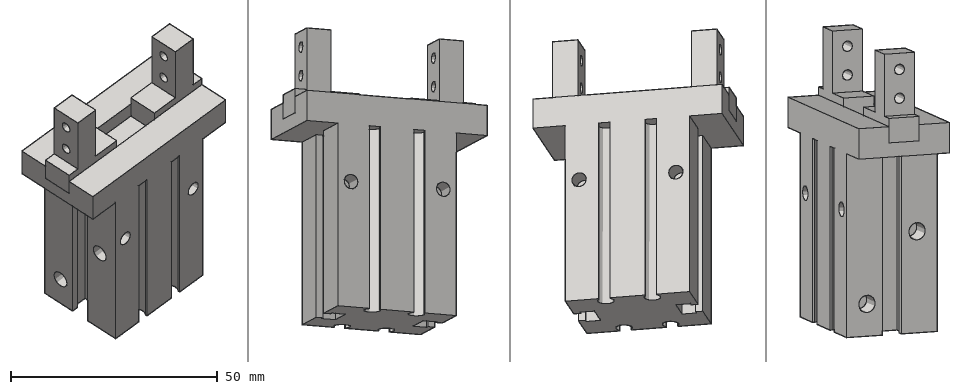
import cadquery as cq
import math

WIDTH = 23.6
PLATE_LENGTH = 47.0
TOTAL_HEIGHT = 70.0

BODY_LENGTH = 30.9
BODY_HEIGHT = 45.2
PLATE_THICKNESS = 7.5
PLATE_TOP = BODY_HEIGHT + PLATE_THICKNESS

JAW_WIDTH = 7.85
CHANNEL_DEPTH = 4.0
CHANNEL_FLOOR = PLATE_TOP - CHANNEL_DEPTH
JAW_BASE_LENGTH = 16.8
JAW_BASE_HEIGHT = 6.0
FINGER_THICKNESS = 6.3
FINGER_SETBACK = 3.1
FINGER_HOLE_DIAMETER = 2.5
FINGER_HOLE_PITCH = 7.1
FINGER_HOLE_TOP_MARGIN = 4.0

GROOVE_MOUTH = 2.9
GROOVE_DIAMETER = 4.0
GROOVE_LIP = 0.55
GROOVE_SPACING = 11.55

SLOT_MOUTH = 5.0
SLOT_LIP = 1.75
SLOT_INNER_WIDTH = 6.7
SLOT_DEPTH = 5.3

SIDE_HOLE_DIAMETER = 3.5
SIDE_HOLE_DEPTH = 5.6
SIDE_HOLE_SPACING = 24.0
SIDE_HOLE_Z = 31.0
PORT_DIAMETER = 4.2
PORT_DEPTH = 5.6
PORT_OFFSET = 6.5
LOWER_PORT_Z = 8.0
UPPER_PORT_Z = 25.0


def block(x_size, y_size, z_size, y_center=0, z_bottom=0):
    """Box centred on X, standing on z_bottom."""
    box = cq.Workplane("XY").box(x_size, y_size, z_size, centered=(True, True, False))
    return box.translate((0, y_center, z_bottom))


def side_groove(y_center):
    """Keyhole groove in the -X side: a parallel mouth opening into a round channel."""
    radius = GROOVE_DIAMETER / 2
    lip_to_axis = math.sqrt(radius**2 - (GROOVE_MOUTH / 2) ** 2)
    mouth_length = GROOVE_LIP + lip_to_axis
    axis_x = -WIDTH / 2 + mouth_length
    mouth = block(mouth_length, GROOVE_MOUTH, BODY_HEIGHT, y_center)
    mouth = mouth.translate((axis_x - mouth_length / 2, 0, 0))
    channel = cq.Workplane("XY").center(axis_x, y_center).circle(radius).extrude(BODY_HEIGHT)
    return mouth.union(channel)


def end_slot():
    """T-slot in the -Y end, running the full height of the body."""
    inner_depth = SLOT_DEPTH - SLOT_LIP
    end_y = -BODY_LENGTH / 2
    mouth = block(SLOT_MOUTH, SLOT_LIP, BODY_HEIGHT, end_y + SLOT_LIP / 2)
    inner = block(SLOT_INNER_WIDTH, inner_depth, BODY_HEIGHT, end_y + SLOT_LIP + inner_depth / 2)
    return mouth.union(inner)


def side_hole(y_center):
    """Blind mounting hole in the -X side."""
    hole = cq.Workplane("YZ").center(y_center, SIDE_HOLE_Z)
    hole = hole.circle(SIDE_HOLE_DIAMETER / 2).extrude(SIDE_HOLE_DEPTH)
    return hole.translate((-WIDTH / 2, 0, 0))


def port(x_center, z_center):
    """Blind port in the -Y end."""
    hole = cq.Workplane("XZ").center(x_center, z_center)
    hole = hole.circle(PORT_DIAMETER / 2).extrude(-PORT_DEPTH)
    return hole.translate((0, -BODY_LENGTH / 2, 0))


def make_housing():
    housing = block(WIDTH, BODY_LENGTH, BODY_HEIGHT)
    housing = housing.union(block(WIDTH, PLATE_LENGTH, PLATE_THICKNESS, z_bottom=BODY_HEIGHT))
    housing = housing.cut(block(JAW_WIDTH, PLATE_LENGTH, CHANNEL_DEPTH, z_bottom=CHANNEL_FLOOR))

    for side in (-1, 1):
        groove = side_groove(side * GROOVE_SPACING / 2)
        hole = side_hole(side * SIDE_HOLE_SPACING / 2)
        for cutter in (groove, hole):
            housing = housing.cut(cutter).cut(cutter.mirror("YZ"))
    slot = end_slot()
    housing = housing.cut(slot).cut(slot.mirror("XZ"))

    housing = housing.cut(port(-PORT_OFFSET, LOWER_PORT_Z))
    return housing.cut(port(PORT_OFFSET, UPPER_PORT_Z))


def make_jaw(side):
    """Jaw at the -Y (side = -1) or +Y (side = 1) end: a sliding base with an upright finger."""
    base_y = side * (PLATE_LENGTH - JAW_BASE_LENGTH) / 2
    finger_y = side * (PLATE_LENGTH / 2 - FINGER_SETBACK - FINGER_THICKNESS / 2)
    base = block(JAW_WIDTH, JAW_BASE_LENGTH, JAW_BASE_HEIGHT, base_y, CHANNEL_FLOOR)
    finger = block(JAW_WIDTH, FINGER_THICKNESS, TOTAL_HEIGHT - CHANNEL_FLOOR, finger_y, CHANNEL_FLOOR)
    jaw = base.union(finger)

    upper_hole_z = TOTAL_HEIGHT - FINGER_HOLE_TOP_MARGIN
    for hole_z in (upper_hole_z, upper_hole_z - FINGER_HOLE_PITCH):
        hole = cq.Workplane("XZ", origin=(0, finger_y, hole_z))
        hole = hole.circle(FINGER_HOLE_DIAMETER / 2).extrude(FINGER_THICKNESS, both=True)
        jaw = jaw.cut(hole)
    return jaw


housing = make_housing()
jaws = [make_jaw(side) for side in (-1, 1)]

result = cq.Compound.makeCompound([housing.val(), *[jaw.val() for jaw in jaws]])